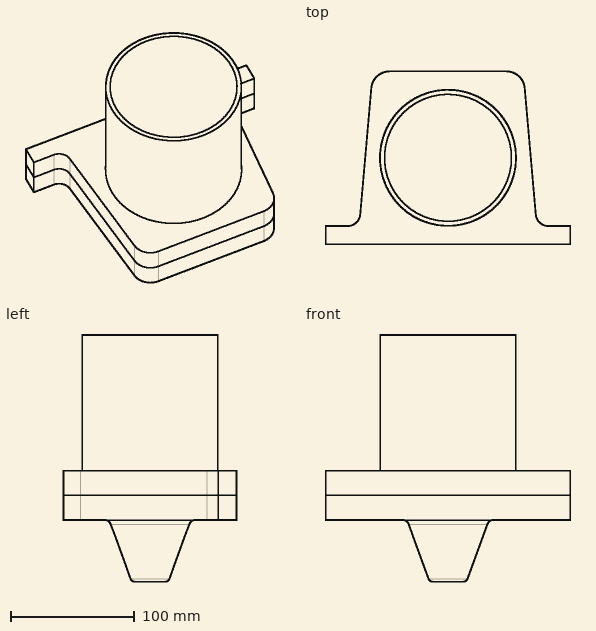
import cadquery as cq
import math

FLANGE_WIDTH = 198.0
PLATE_DEPTH = 140.2
PLATE_THICKNESS = 20.0
FLANGE_DEPTH = 15.0
BACK_WIDTH = 122.0
SIDE_TAPER = 5.0
BACK_CORNER_RADIUS = 15.0
FLANGE_FILLET_RADIUS = 10.0

BARREL_DIAMETER = 110.0
CORE_DIAMETER = 102.8
SOCKET_DIAMETER = 110.5
BARREL_EXPOSED_HEIGHT = 110.0
BARREL_LENGTH = BARREL_EXPOSED_HEIGHT + PLATE_THICKNESS

NOZZLE_LENGTH = 50.0
NOZZLE_TIP_RADIUS = 15.0
NOZZLE_TAPER = 20.0
NOZZLE_ROOT_RADIUS = NOZZLE_TIP_RADIUS + NOZZLE_LENGTH * math.tan(math.radians(NOZZLE_TAPER))
NOZZLE_TIP_FILLET = 4.0
NOZZLE_ROOT_FILLET = 5.0

LOWER_PLATE_Z = 0.0
JOINT_Z = LOWER_PLATE_Z + PLATE_THICKNESS


def plate(bottom_z):
    """Plate with a straight front flange and a tapered, rounded body behind it."""
    front_y = -PLATE_DEPTH / 2
    back_y = PLATE_DEPTH / 2
    shoulder_y = front_y + FLANGE_DEPTH
    flange_x = FLANGE_WIDTH / 2
    back_x = BACK_WIDTH / 2
    shoulder_x = back_x + (back_y - shoulder_y) * math.tan(math.radians(SIDE_TAPER))
    body = (
        cq.Workplane("XY", origin=(0, 0, bottom_z))
        .moveTo(-flange_x, front_y)
        .lineTo(flange_x, front_y)
        .lineTo(flange_x, shoulder_y)
        .lineTo(shoulder_x, shoulder_y)
        .lineTo(back_x, back_y)
        .lineTo(-back_x, back_y)
        .lineTo(-shoulder_x, shoulder_y)
        .lineTo(-flange_x, shoulder_y)
        .close()
        .extrude(PLATE_THICKNESS)
    )
    for corner_x in (-shoulder_x, shoulder_x):
        corner = cq.NearestToPointSelector((corner_x, shoulder_y, bottom_z + PLATE_THICKNESS / 2))
        body = body.edges(corner).fillet(FLANGE_FILLET_RADIUS)
    return body.edges("|Z and >Y").fillet(BACK_CORNER_RADIUS)


def make_upper_plate():
    """Plate with a through socket for the barrel."""
    socket = cq.Workplane("XY", origin=(0, 0, JOINT_Z)).circle(SOCKET_DIAMETER / 2).extrude(PLATE_THICKNESS)
    return plate(JOINT_Z).cut(socket)


def nozzle():
    """Solid cone, hanging from the underside of the lower plate, with a rounded tip."""
    cone = (
        cq.Workplane("XZ")
        .lineTo(NOZZLE_ROOT_RADIUS, 0)
        .lineTo(NOZZLE_TIP_RADIUS, -NOZZLE_LENGTH)
        .lineTo(0, -NOZZLE_LENGTH)
        .close()
        .revolve(360, (0, 0, 0), (0, 1, 0))
    )
    return cone.faces("<Z").edges().fillet(NOZZLE_TIP_FILLET)


def make_lower_plate():
    """Lower plate with the nozzle blended into its underside."""
    root_edge = cq.NearestToPointSelector((0, 0, 0))
    return plate(LOWER_PLATE_Z).union(nozzle()).edges(root_edge).fillet(NOZZLE_ROOT_FILLET)


def make_barrel():
    """Tube, open at both ends."""
    return (
        cq.Workplane("XY", origin=(0, 0, JOINT_Z))
        .circle(BARREL_DIAMETER / 2)
        .circle(CORE_DIAMETER / 2)
        .extrude(BARREL_LENGTH)
    )


def make_core():
    """Cylinder that fills the bore of the barrel, flush with its rim."""
    return cq.Workplane("XY", origin=(0, 0, JOINT_Z)).circle(CORE_DIAMETER / 2).extrude(BARREL_LENGTH)


upper_plate = make_upper_plate()
lower_plate = make_lower_plate()
barrel = make_barrel()
core = make_core()

result = cq.Compound.makeCompound([upper_plate.val(), lower_plate.val(), barrel.val(), core.val()])